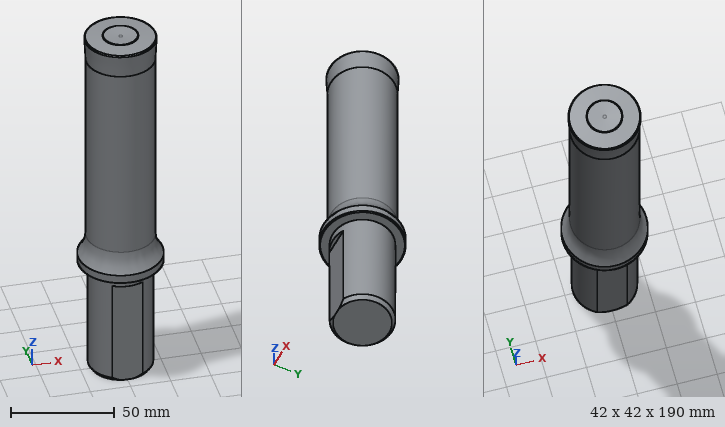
import cadquery as cq
import math

total_length = 190.0
head_length = 13.0
shank_length = 60.0
flange_edge_height = 4.8
flare_height = 11.0

barrel_radius = 34.0 / 2
flange_radius = 42.0 / 2
flange_chamfer = 0.5
shank_radius = 32.0 / 2
shank_chamfer_height = 2.3
shank_chamfer_width = 1.7
flat_distance = 14.0
flat_top = 55.1

head_radius = 35.2 / 2
rim_chamfer_width = 0.48
rim_chamfer_height = 0.8
rim_drop = 0.66
crest_radius = 8.4
crest_bevel_width = 0.4
crest_bevel_depth = 0.2
center_radius = 0.85
center_drop = 0.4

head_base = total_length - head_length
flange_top = shank_length + flange_edge_height
flare_top = flange_top + flare_height


def revolve_profile(profile):
    """Revolve a closed radius-height profile about the Z axis."""
    return profile.close().revolve(360, (0, 0, 0), (0, 1, 0))


def make_tool_body():
    flare_width = flange_radius - barrel_radius
    flare_radius = (flare_height**2 + flare_width**2) / (2 * flare_width)
    half_sweep = math.asin(flare_height / flare_radius) / 2
    flare_middle = (
        barrel_radius + flare_radius * (1 - math.cos(half_sweep)),
        flare_top - flare_radius * math.sin(half_sweep),
    )
    profile = (
        cq.Workplane("XZ")
        .lineTo(shank_radius - shank_chamfer_width, 0)
        .lineTo(shank_radius, shank_chamfer_height)
        .lineTo(shank_radius, shank_length)
        .lineTo(flange_radius - flange_chamfer, shank_length)
        .lineTo(flange_radius, shank_length + flange_chamfer)
        .lineTo(flange_radius, flange_top)
        .threePointArc(flare_middle, (barrel_radius, flare_top))
        .lineTo(barrel_radius, head_base)
        .lineTo(0, head_base)
    )
    return revolve_profile(profile).cut(make_flat_cutter())


def make_flat_cutter():
    """Block that removes the clamping flat from the -Y side of the shank."""
    return cq.Workplane("XY").box(
        2 * shank_radius, shank_radius, flat_top, centered=(True, False, False)
    ).translate((0, -flat_distance - shank_radius, 0))


def make_cutting_head():
    rim_height = total_length - rim_drop
    profile = (
        cq.Workplane("XZ")
        .moveTo(0, head_base)
        .lineTo(barrel_radius, head_base)
        .lineTo(head_radius, rim_height - rim_chamfer_height)
        .lineTo(head_radius - rim_chamfer_width, rim_height)
        .lineTo(crest_radius + crest_bevel_width, total_length - crest_bevel_depth)
        .lineTo(crest_radius, total_length)
        .lineTo(center_radius, total_length - center_drop)
        .lineTo(0, total_length - center_drop)
    )
    return revolve_profile(profile)


tool_body = make_tool_body()
cutting_head = make_cutting_head()

result = cq.Compound.makeCompound([tool_body.val(), cutting_head.val()])